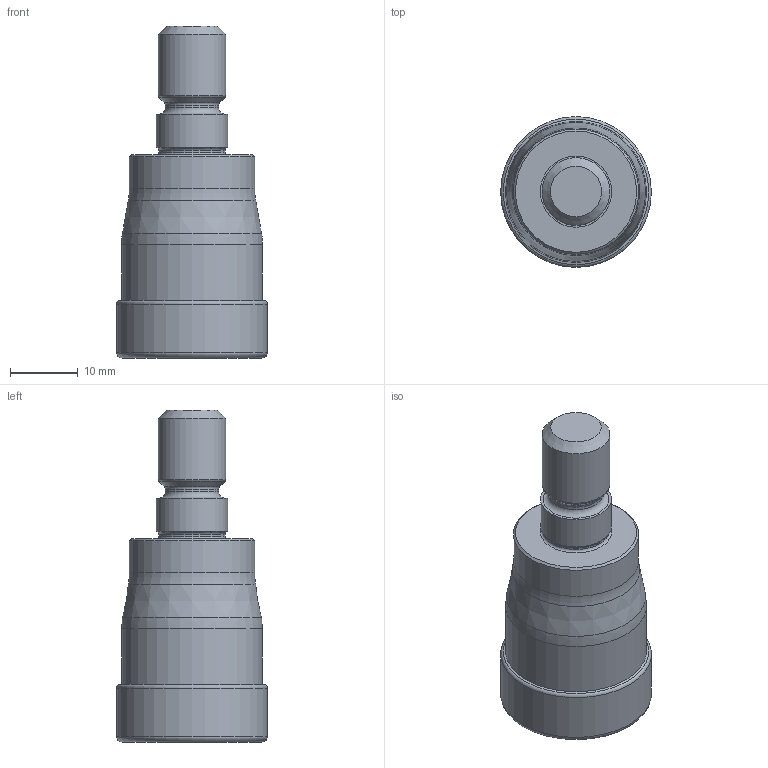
import cadquery as cq
import math

cap_radius = 22.23 / 2
cap_height = 8.54
cap_rim_slope = math.radians(15)
cap_top_rounding = 0.5
cap_bottom_rounding = 0.8

base_radius = 10.4
base_top_z = 16.7
shoulder_radius = 9.25
shoulder_top_z = 30.0
shoulder_chamfer = 0.3
blend_radius = 10.0
cone_angle = math.radians(10)

collar_radius = 5.25
collar_bottom_z = 31.1
collar_top_z = 36.0
relief_radius = 4.9
relief_fillet = collar_radius - relief_radius

thread_radius = 5.0
thread_top_z = 49.0
thread_chamfer = 1.25
thread_bottom_z = 38.8
neck_radius = 3.95
neck_lower_fillet = 0.9
neck_upper_fillet = 0.6
thread_end_rounding = 0.4

FLANK_RISE = math.sin(math.radians(45))
FLANK_RUN = 1 - math.cos(math.radians(45))


def make_cap():
    rounding_top_r = cap_radius - cap_top_rounding * (1 - math.sin(cap_rim_slope))
    rounding_top_z = cap_height - (rounding_top_r - base_radius) * math.tan(cap_rim_slope)
    rounding_bottom_z = rounding_top_z - cap_top_rounding * math.cos(cap_rim_slope)

    profile = (
        cq.Workplane("XZ")
        .moveTo(0, cap_height)
        .lineTo(base_radius, cap_height)
        .lineTo(rounding_top_r, rounding_top_z)
        .tangentArcPoint((cap_radius, rounding_bottom_z), relative=False)
        .lineTo(cap_radius, cap_bottom_rounding)
        .tangentArcPoint((cap_radius - cap_bottom_rounding, 0), relative=False)
        .lineTo(0, 0)
        .close()
    )
    return profile.revolve(360, (0, 0, 0), (0, 1, 0))


def make_stud():
    blend_rise = blend_radius * math.sin(cone_angle)
    blend_run = blend_radius * (1 - math.cos(cone_angle))
    cone_bottom = (base_radius - blend_run, base_top_z + blend_rise)
    cone_top_r = shoulder_radius + blend_run
    cone_top_z = cone_bottom[1] + (cone_bottom[0] - cone_top_r) / math.tan(cone_angle)
    shoulder_bottom_z = cone_top_z + blend_rise

    relief_flank_r = relief_radius + relief_fillet * FLANK_RUN
    relief_flank_z = collar_bottom_z - (collar_radius - relief_flank_r)
    relief_top_z = relief_flank_z - relief_fillet * FLANK_RISE

    flank_top_r = thread_radius - thread_end_rounding * FLANK_RUN
    flank_top_z = thread_bottom_z - thread_end_rounding * FLANK_RISE
    flank_bottom_r = neck_radius + neck_upper_fillet * FLANK_RUN
    flank_bottom_z = flank_top_z - (flank_top_r - flank_bottom_r)
    neck_top_z = flank_bottom_z - neck_upper_fillet * FLANK_RISE

    profile = (
        cq.Workplane("XZ")
        .moveTo(0, cap_height)
        .lineTo(base_radius, cap_height)
        .lineTo(base_radius, base_top_z)
        .tangentArcPoint(cone_bottom, relative=False)
        .lineTo(cone_top_r, cone_top_z)
        .tangentArcPoint((shoulder_radius, shoulder_bottom_z), relative=False)
        .lineTo(shoulder_radius, shoulder_top_z - shoulder_chamfer)
        .lineTo(shoulder_radius - shoulder_chamfer, shoulder_top_z)
        .lineTo(relief_radius + relief_fillet, shoulder_top_z)
        .tangentArcPoint((relief_radius, shoulder_top_z + relief_fillet), relative=False)
        .lineTo(relief_radius, relief_top_z)
        .tangentArcPoint((relief_flank_r, relief_flank_z), relative=False)
        .lineTo(collar_radius, collar_bottom_z)
        .lineTo(collar_radius, collar_top_z)
        .lineTo(neck_radius + neck_lower_fillet, collar_top_z)
        .tangentArcPoint((neck_radius, collar_top_z + neck_lower_fillet), relative=False)
        .lineTo(neck_radius, neck_top_z)
        .tangentArcPoint((flank_bottom_r, flank_bottom_z), relative=False)
        .lineTo(flank_top_r, flank_top_z)
        .tangentArcPoint((thread_radius, thread_bottom_z), relative=False)
        .lineTo(thread_radius, thread_top_z - thread_chamfer)
        .lineTo(thread_radius - thread_chamfer, thread_top_z)
        .lineTo(0, thread_top_z)
        .close()
    )
    return profile.revolve(360, (0, 0, 0), (0, 1, 0))


cap = make_cap()
stud = make_stud()

result = cq.Compound.makeCompound([cap.val(), stud.val()])